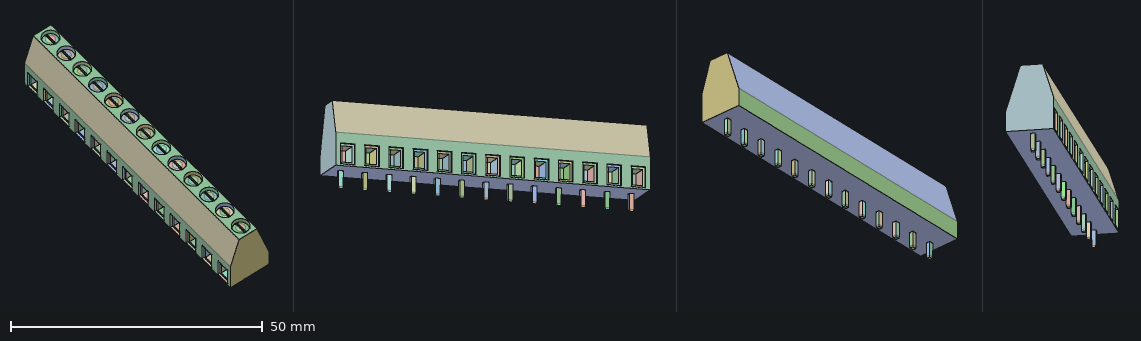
import cadquery as cq
import math

length = 66.05
terminal_count = 13
pitch = length / terminal_count
terminal_xs = [(i - (terminal_count - 1) / 2) * pitch for i in range(terminal_count)]

depth = 9.8
body_height = 13.75
front_y = -depth / 2
back_y = depth / 2
front_shoulder_z = 6.75
back_shoulder_z = 4.1
top_front_y = -2.7
top_back_y = 1.85
contact_y = -0.3

entry_width = 3.05
entry_height = 4.2
entry_center_z = 2.5
entry_rim_depth = 0.5
entry_rim_inset = 0.45
entry_depth = 4.6

well_diameter = 3.7
head_depth = 0.5
head_flat_diameter = 2.0
dome_radius = (well_diameter - head_flat_diameter) / 2
slot_width = 0.4
slot_depth = 0.5

pin_length = 3.6
pin_width = 1.0
pin_thickness = 0.85
pin_taper_inset = 0.05
pin_taper_height = 0.4


def make_housing():
    profile = [
        (front_y, 0),
        (back_y, 0),
        (back_y, back_shoulder_z),
        (top_back_y, body_height),
        (top_front_y, body_height),
        (front_y, front_shoulder_z),
    ]
    return cq.Workplane("YZ").polyline(profile).close().extrude(length / 2, both=True)


def make_wire_entry(x):
    def opening(width, height, opening_depth):
        return (
            cq.Workplane("XY")
            .box(width, opening_depth, height, centered=(True, False, True))
            .translate((x, front_y, entry_center_z))
        )

    rim = opening(entry_width, entry_height, entry_rim_depth)
    channel = opening(entry_width - 2 * entry_rim_inset, entry_height - 2 * entry_rim_inset, entry_depth)
    return rim.union(channel)


def make_screw_well(x):
    """Volume removed above one screw head, including its driver slot."""
    flat_z = body_height - head_depth
    rim_z = flat_z - dome_radius
    flat_radius = head_flat_diameter / 2
    dome_mid = dome_radius * math.cos(math.pi / 4)
    well = (
        cq.Workplane("XZ")
        .moveTo(0, flat_z)
        .lineTo(flat_radius, flat_z)
        .threePointArc((flat_radius + dome_mid, rim_z + dome_mid), (well_diameter / 2, rim_z))
        .lineTo(well_diameter / 2, body_height)
        .lineTo(0, body_height)
        .close()
        .revolve(360, (0, 0, 0), (0, 1, 0))
    )
    slot_height = head_depth + slot_depth
    slot = (
        cq.Workplane("XY")
        .box(well_diameter, slot_width, slot_height, centered=(True, True, False))
        .translate((0, 0, body_height - slot_height))
    )
    within_well = cq.Workplane("XY").circle(well_diameter / 2).extrude(body_height)
    return well.union(slot.intersect(within_well)).translate((x, contact_y, 0))


def make_pin(x):
    shank_length = pin_length - pin_taper_height
    shank = cq.Workplane("XY").rect(pin_width, pin_thickness).extrude(-shank_length)
    tip = (
        cq.Workplane("XY")
        .workplane(offset=-shank_length)
        .rect(pin_width, pin_thickness)
        .workplane(offset=-pin_taper_height)
        .rect(pin_width - 2 * pin_taper_inset, pin_thickness - 2 * pin_taper_inset)
        .loft(ruled=True)
    )
    return shank.union(tip).translate((x, contact_y, 0))


result = make_housing()
for terminal_x in terminal_xs:
    result = result.cut(make_wire_entry(terminal_x))
    result = result.cut(make_screw_well(terminal_x))
    result = result.union(make_pin(terminal_x))